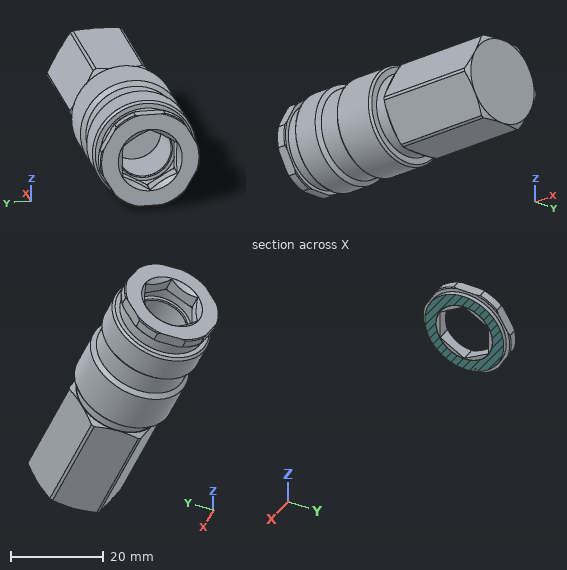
import cadquery as cq
import math

LENGTH = 58.5

COLLAR_LENGTH = 2.5
COLLAR_DIAMETER = 22.0
COLLAR_FLATS = 21.0
COLLAR_CHAMFER = 0.25
FRONT_NECK_DIAMETER = 19.8

SLEEVE_START = 5.85
SLEEVE_END = 29.3
SLEEVE_DIAMETER = 23.0
SLEEVE_CHAMFER = 0.5
GROOVE_START = 12.4
GROOVE_END = 19.2
GROOVE_DIAMETER = 20.9
GROOVE_RAMP = 0.8

REAR_NECK_DIAMETER = 19.0
WRENCH_START = 32.45
WRENCH_FLATS = 19.3
WRENCH_CORNER_DIAMETER = 21.9
WRENCH_CHAMFER_LENGTH = 0.65

MOUTH_DIAMETER = 14.15
MOUTH_CHAMFER_LENGTH = 1.0
SOCKET_FLATS = 12.0
SOCKET_HEX_DEPTH = 3.5
CHAMBER_DIAMETER = 14.0
CHAMBER_END = 6.3
BORE_ENTRY_DIAMETER = 12.45
BORE_ENTRY_LENGTH = 0.25
BORE_DIAMETER = 12.0
BORE_DEPTH = 17.55


def cylinder(start, end, diameter):
    """Round bar along X."""
    return cq.Workplane("YZ", origin=(start, 0, 0)).circle(diameter / 2).extrude(end - start)


def hexagon(start, end, flats, turn=0):
    """Hexagonal bar along X with corners on the Y axis, turned about X by an angle in degrees."""
    corner_diameter = flats / math.cos(math.pi / 6)
    bar = cq.Workplane("YZ", origin=(start, 0, 0)).polygon(6, corner_diameter).extrude(end - start)
    return bar.rotate((0, 0, 0), (1, 0, 0), turn)


def revolve_profile(points):
    """Solid of revolution about X from an outline of (x, radius) points."""
    return cq.Workplane("XY").polyline(points).close().revolve(360, (0, 0, 0), (1, 0, 0))


def cone(start, end, start_diameter, end_diameter):
    """Solid truncated cone along X."""
    return revolve_profile([
        (start, 0),
        (start, start_diameter / 2),
        (end, end_diameter / 2),
        (end, 0),
    ])


def make_collar():
    blank = cylinder(0, COLLAR_LENGTH, COLLAR_DIAMETER).edges().chamfer(COLLAR_CHAMFER)
    return blank.intersect(hexagon(0, COLLAR_LENGTH, COLLAR_FLATS))


def make_sleeve():
    outer = SLEEVE_DIAMETER / 2
    edge = outer - SLEEVE_CHAMFER
    groove = GROOVE_DIAMETER / 2
    return revolve_profile([
        (SLEEVE_START, 0),
        (SLEEVE_START, edge),
        (SLEEVE_START + SLEEVE_CHAMFER, outer),
        (GROOVE_START, outer),
        (GROOVE_START + GROOVE_RAMP, groove),
        (GROOVE_END - GROOVE_RAMP, groove),
        (GROOVE_END, outer),
        (SLEEVE_END - SLEEVE_CHAMFER, outer),
        (SLEEVE_END, edge),
        (SLEEVE_END, 0),
    ])


def make_wrench_body():
    corner = WRENCH_CORNER_DIAMETER / 2
    face = WRENCH_FLATS / 2
    blank = revolve_profile([
        (WRENCH_START, 0),
        (WRENCH_START, face),
        (WRENCH_START + WRENCH_CHAMFER_LENGTH, corner),
        (LENGTH - WRENCH_CHAMFER_LENGTH, corner),
        (LENGTH, face),
        (LENGTH, 0),
    ])
    return blank.intersect(hexagon(WRENCH_START, LENGTH, WRENCH_FLATS))


def make_socket():
    mouth = cone(0, MOUTH_CHAMFER_LENGTH, MOUTH_DIAMETER, SOCKET_FLATS)
    hex_mouth = hexagon(0, SOCKET_HEX_DEPTH, SOCKET_FLATS, turn=30)
    chamber = cylinder(SOCKET_HEX_DEPTH, CHAMBER_END, CHAMBER_DIAMETER)
    bore_entry = cone(CHAMBER_END, CHAMBER_END + BORE_ENTRY_LENGTH, BORE_ENTRY_DIAMETER, BORE_DIAMETER)
    bore = cylinder(CHAMBER_END, BORE_DEPTH, BORE_DIAMETER)
    return mouth.union(hex_mouth).union(chamber).union(bore_entry).union(bore)


front_neck = cylinder(COLLAR_LENGTH, SLEEVE_START, FRONT_NECK_DIAMETER)
rear_neck = cylinder(SLEEVE_END, WRENCH_START, REAR_NECK_DIAMETER)

body = make_collar().union(front_neck).union(make_sleeve())
body = body.union(rear_neck).union(make_wrench_body())
result = body.cut(make_socket())